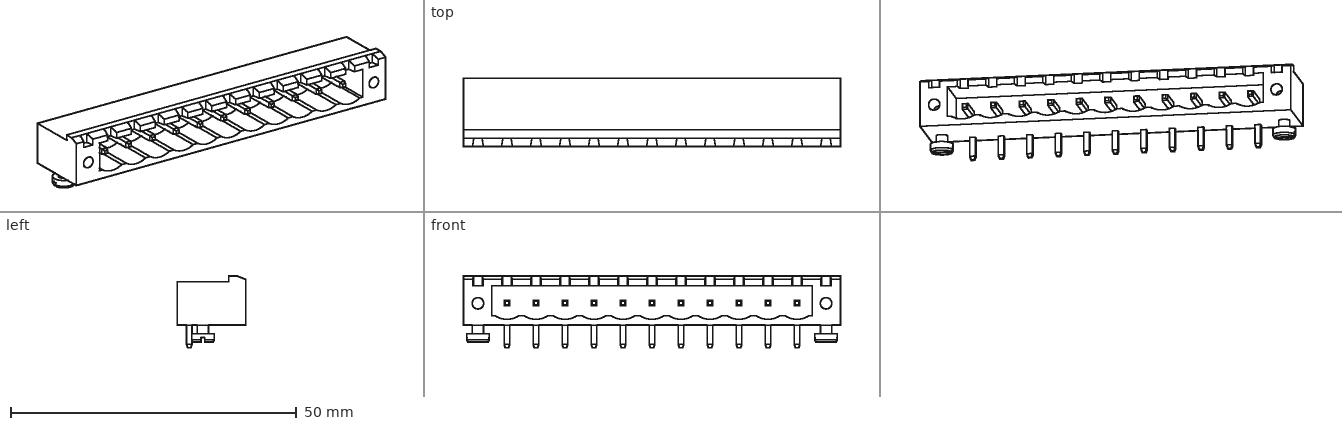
import cadquery as cq

PITCH = 5.08
CONTACT_COUNT = 11
contact_xs = [(i - (CONTACT_COUNT - 1) / 2) * PITCH for i in range(CONTACT_COUNT)]
flange_xs = [contact_xs[0] - PITCH, contact_xs[-1] + PITCH]

FLANGE_MARGIN = PITCH / 2
LENGTH = (CONTACT_COUNT + 1) * PITCH + 2 * FLANGE_MARGIN
DEPTH = 12.0
HEIGHT = 8.6
BACK_HEIGHT = 7.6
RIDGE_DEPTH = 3.0
BEVEL_DEPTH = 1.5
BEVEL_DROP = 0.6

CAVITY_HALF_WIDTH = 28.1
CAVITY_DEPTH = 8.5
CAVITY_TOP = 6.9
SCALLOP_BOTTOM = 1.0
SCALLOP_TOP = 1.6
SCALLOP_HALF_WIDTH = 2.05

NOTCH_FRONT_WIDTH = 1.9
NOTCH_BACK_WIDTH = 1.45

PIN_SIZE = 1.0
PIN_TIP_SIZE = 0.6
PIN_TIP_LENGTH = 0.6
PIN_AXIS_Y = 9.9
PIN_AXIS_Z = 3.85
PIN_FRONT_Y = 1.8
PIN_BELOW_BOARD = 4.0

FLANGE_HOLE_DIAMETER = 2.0
FLANGE_HOLE_Z = 3.8
FLANGE_HOLE_DEPTH = 5.0
SCREW_Y = 7.5
SHANK_DIAMETER = 2.0
HEAD_DIAMETER = 4.0
HEAD_TOP_Z = -1.5
HEAD_BOTTOM_Z = -3.0
HEAD_CHAMFER_HEIGHT = 0.4
HEAD_CHAMFER_INSET = 0.2
DRIVE_SLOT_WIDTH = 0.6
DRIVE_SLOT_DEPTH = 0.8


def make_housing():
    """Long block with a bevelled ridge along its top front edge."""
    profile = [
        (0, 0),
        (DEPTH, 0),
        (DEPTH, BACK_HEIGHT),
        (RIDGE_DEPTH, BACK_HEIGHT),
        (RIDGE_DEPTH, HEIGHT),
        (BEVEL_DEPTH, HEIGHT),
        (0, HEIGHT - BEVEL_DROP),
    ]
    return cq.Workplane("YZ").polyline(profile).close().extrude(LENGTH / 2, both=True)


def make_cavity():
    """Cavity volume whose floor has one shallow arc under each contact."""
    outline = cq.Workplane("XZ").moveTo(-CAVITY_HALF_WIDTH, CAVITY_TOP)
    outline = outline.lineTo(-CAVITY_HALF_WIDTH, SCALLOP_TOP)
    for x in contact_xs:
        outline = outline.lineTo(x - SCALLOP_HALF_WIDTH, SCALLOP_TOP)
        outline = outline.threePointArc((x, SCALLOP_BOTTOM), (x + SCALLOP_HALF_WIDTH, SCALLOP_TOP))
    outline = outline.lineTo(CAVITY_HALF_WIDTH, SCALLOP_TOP).lineTo(CAVITY_HALF_WIDTH, CAVITY_TOP)
    return outline.close().extrude(-CAVITY_DEPTH)


def make_notch(x):
    """Notch volume that narrows from the front face towards the back."""
    outline = [
        (x - NOTCH_FRONT_WIDTH / 2, 0),
        (x + NOTCH_FRONT_WIDTH / 2, 0),
        (x + NOTCH_BACK_WIDTH / 2, BEVEL_DEPTH),
        (x - NOTCH_BACK_WIDTH / 2, BEVEL_DEPTH),
    ]
    floor = cq.Workplane("XY").workplane(offset=CAVITY_TOP)
    return floor.polyline(outline).close().extrude(HEIGHT - CAVITY_TOP)


def make_flange_hole(x):
    """Blind round hole in the front face."""
    face = cq.Workplane("XZ").center(x, FLANGE_HOLE_Z)
    return face.circle(FLANGE_HOLE_DIAMETER / 2).extrude(-FLANGE_HOLE_DEPTH)


def make_pin_leg(plane, length):
    """Square bar along the plane's normal, with a tapered tip at its far end."""
    bar_length = length - PIN_TIP_LENGTH
    bar = cq.Workplane(plane).rect(PIN_SIZE, PIN_SIZE).extrude(bar_length)
    tip = (
        cq.Workplane(plane)
        .workplane(offset=bar_length)
        .rect(PIN_SIZE, PIN_SIZE)
        .workplane(offset=PIN_TIP_LENGTH)
        .rect(PIN_TIP_SIZE, PIN_TIP_SIZE)
        .loft()
    )
    return bar.union(tip)


def make_pin(x):
    """Contact leg towards the front and solder leg downwards, meeting in a bend."""
    bend = (x, PIN_AXIS_Y, PIN_AXIS_Z)
    contact_plane = cq.Plane(origin=bend, xDir=(1, 0, 0), normal=(0, -1, 0))
    solder_plane = cq.Plane(origin=bend, xDir=(1, 0, 0), normal=(0, 0, -1))
    contact_leg = make_pin_leg(contact_plane, PIN_AXIS_Y - PIN_FRONT_Y)
    solder_leg = make_pin_leg(solder_plane, PIN_AXIS_Z + PIN_BELOW_BOARD)
    return contact_leg.union(solder_leg)


def make_screw(x):
    """Slotted screw hanging below the housing, turned about a vertical axis."""
    head_radius = HEAD_DIAMETER / 2
    profile = [
        (0, 0),
        (SHANK_DIAMETER / 2, 0),
        (SHANK_DIAMETER / 2, HEAD_TOP_Z),
        (head_radius, HEAD_TOP_Z),
        (head_radius, HEAD_BOTTOM_Z + HEAD_CHAMFER_HEIGHT),
        (head_radius - HEAD_CHAMFER_INSET, HEAD_BOTTOM_Z),
        (0, HEAD_BOTTOM_Z),
    ]
    screw = cq.Workplane("XZ").polyline(profile).close().revolve(360, (0, 0), (0, 1))
    slot = (
        cq.Workplane("XY")
        .workplane(offset=HEAD_BOTTOM_Z)
        .rect(HEAD_DIAMETER, DRIVE_SLOT_WIDTH)
        .extrude(DRIVE_SLOT_DEPTH)
    )
    return screw.cut(slot).translate((x, SCREW_Y, 0))


result = make_housing().cut(make_cavity())
for x in flange_xs + contact_xs:
    result = result.cut(make_notch(x))
for x in flange_xs:
    result = result.cut(make_flange_hole(x)).union(make_screw(x))
for x in contact_xs:
    result = result.union(make_pin(x))